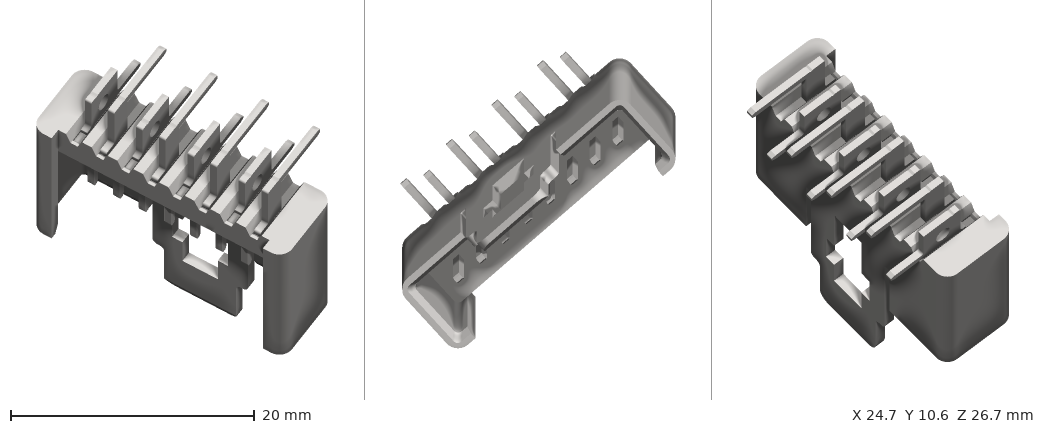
import cadquery as cq
import math


housing_width = 24.7
housing_depth = 7.5
housing_height = 14.0
outer_radius = 1.25
wall = 1.0
inner_radius = 0.5
roof_thickness = 2.95
front_opening_width = 20.6
roof_front_y = -housing_depth + wall
back_wall_front_y = -wall

lead_in_height = 1.0
lead_in_depth = 0.45

tongue_width = 9.3
tongue_tip_width = 7.0
tongue_root_z = 6.5
tongue_shoulder_z = -3.78
tongue_end_z = -9.05
shoulder_radius = 0.5
tongue_tip_radius = 1.0
side_slot_width = 0.6
side_slot_radius = 0.15

window_width = 3.45
window_bottom_z = -4.28
window_cross_width = 5.48
window_cross_bottom_z = -1.68
window_cross_top_z = 1.45

pin_count = 8
pin_pitch = 2.5
pin_width = 0.64
groove_top_width = 1.58
groove_bottom_width = 0.68
groove_floor_z = 13.07
pocket_depth = 0.2
pocket_front_y = -6.2

tail_end_y = 3.1
tail_tip_length = 0.4
tail_tip_inset = 0.15
leg_front_y = -4.0
leg_thickness = 0.64
leg_end_z = 4.57
leg_tip_length = 0.33
leg_tip_inset = 0.15
foot_bottom_z = 12.5
foot_fillet_top_z = 13.56
plate_edge_radius = 0.18
notch_half_width = 0.2
notch_depth = 0.08

tall_top_z = 17.62
tall_tail_thickness = 0.67
tall_back_y = -2.78
tall_front_y = -4.8
tall_foot_top_z = 13.36
tall_foot_front_y = -5.97
tall_foot_radius = 0.2
tall_notch_y = -3.25

short_top_z = 16.68
short_tail_top_z = 13.82
short_tail_thickness = 0.59
short_back_y = -0.4
short_front_y = -4.38
short_foot_top_z = 13.22
short_foot_front_y = -5.0
short_foot_radius = 0.05
short_notch_y = -3.55
short_tail_fillet = 0.25
hole_y = -2.52
hole_z = 14.65
hole_diameter = 1.5

arc_offset = 1 - math.sqrt(0.5)

search_margin = 0.01


def box(x_size, y_min, y_max, z_min, z_max):
    """Block centred on X = 0, given by its Y and Z limits."""
    block = cq.Workplane("XY").box(x_size, y_max - y_min, z_max - z_min)
    return block.translate((0, (y_min + y_max) / 2, (z_min + z_max) / 2))


def extrude_along_x(profile, width):
    """Extrude a closed YZ profile to both sides of X = 0."""
    return profile.extrude(width / 2, both=True)


def make_housing():
    body = box(housing_width, -housing_depth, 0, 0, housing_height).edges("|Z").fillet(outer_radius)

    cavity_width = housing_width - 2 * wall
    ceiling_z = housing_height - roof_thickness
    cavity = box(cavity_width, roof_front_y, back_wall_front_y, 0, ceiling_z).edges("|Z").fillet(inner_radius)
    front_opening = box(front_opening_width, -housing_depth, roof_front_y, 0, housing_height)
    neck = box(front_opening_width, -housing_depth, back_wall_front_y - inner_radius, 0, ceiling_z)

    lead_in = (
        cq.Workplane("XY")
        .center(0, (roof_front_y + back_wall_front_y) / 2)
        .rect(cavity_width + 2 * lead_in_depth, back_wall_front_y - roof_front_y + 2 * lead_in_depth)
        .extrude(lead_in_height, taper=math.degrees(math.atan2(lead_in_depth, lead_in_height)))
        .edges("not #Z")
        .fillet(inner_radius)
    )
    return body.cut(cavity).cut(front_opening).cut(neck).cut(lead_in)


def add_tongue(body):
    gap_width = tongue_width + 2 * side_slot_width
    gap = box(gap_width, -wall, 0, 0, tongue_root_z)

    wide = box(tongue_width, -wall, 0, tongue_shoulder_z, tongue_root_z)
    wide = wide.edges("|Y and <Z").fillet(shoulder_radius)
    tip = box(tongue_tip_width, -wall, 0, tongue_end_z, tongue_root_z)
    tip = tip.edges("|Y and <Z").fillet(tongue_tip_radius)
    tongue = wide.union(tip)
    inner_corners = cq.selectors.BoxSelector(
        (-tongue_tip_width / 2 - search_margin, -wall, tongue_shoulder_z - search_margin),
        (tongue_tip_width / 2 + search_margin, 0, tongue_shoulder_z + search_margin),
    )
    tongue = tongue.edges("|Y").edges(inner_corners).fillet(shoulder_radius)

    tip_bevel = extrude_along_x(
        cq.Workplane("YZ").polyline(
            [
                (-wall, tongue_end_z),
                (-wall + lead_in_depth, tongue_end_z),
                (-wall, tongue_end_z + lead_in_height),
            ]
        ).close(),
        tongue_width,
    )
    tongue = tongue.cut(tip_bevel)

    slot_x = (tongue_width + side_slot_width) / 2
    body = body.cut(gap).union(tongue)
    for side in (-1, 1):
        body = body.edges("|Y").edges(
            cq.selectors.BoxSelector(
                (side * slot_x - side_slot_width, -wall, tongue_root_z - search_margin),
                (side * slot_x + side_slot_width, 0, tongue_root_z + search_margin),
            )
        ).fillet(side_slot_radius)

    window = box(window_width, -wall, 0, window_bottom_z, tongue_root_z)
    window_cross = box(window_cross_width, -wall, 0, window_cross_bottom_z, window_cross_top_z)
    return body.cut(window).cut(window_cross)


def make_groove():
    """V-groove across the roof, with a ramped pocket in its floor in front of the pin."""
    groove = (
        cq.Workplane("XZ")
        .polyline(
            [
                (-groove_top_width / 2, housing_height),
                (-groove_bottom_width / 2, groove_floor_z),
                (groove_bottom_width / 2, groove_floor_z),
                (groove_top_width / 2, housing_height),
            ]
        )
        .close()
        .extrude(housing_depth)
    )
    pocket = extrude_along_x(
        cq.Workplane("YZ").polyline(
            [
                (pocket_front_y, groove_floor_z),
                (pocket_front_y + pocket_depth, groove_floor_z - pocket_depth),
                (leg_front_y, groove_floor_z - pocket_depth),
                (leg_front_y, groove_floor_z),
            ]
        ).close(),
        groove_bottom_width,
    )
    return groove.union(pocket)


def make_tail(start_y, top_z, thickness):
    bottom_z = top_z - thickness
    profile = cq.Workplane("YZ").polyline(
        [
            (start_y, bottom_z),
            (tail_end_y - tail_tip_length, bottom_z),
            (tail_end_y, bottom_z + tail_tip_inset),
            (tail_end_y, top_z - tail_tip_inset),
            (tail_end_y - tail_tip_length, top_z),
            (start_y, top_z),
        ]
    )
    return extrude_along_x(profile.close(), pin_width)


def make_leg():
    back_y = leg_front_y + leg_thickness
    profile = cq.Workplane("YZ").polyline(
        [
            (leg_front_y, foot_bottom_z),
            (leg_front_y, leg_end_z + leg_tip_length),
            (leg_front_y + leg_tip_inset, leg_end_z),
            (back_y - leg_tip_inset, leg_end_z),
            (back_y, leg_end_z + leg_tip_length),
            (back_y, foot_bottom_z),
        ]
    )
    return extrude_along_x(profile.close(), pin_width)


def make_plate(back_y, front_y, top_z, foot_front_y, foot_top_z, foot_radius, notch_y):
    """Upright plate with a foot in front of it and a shallow V-notch in its top edge."""
    foot_fillet = foot_fillet_top_z - foot_top_z
    profile = (
        cq.Workplane("YZ")
        .moveTo(back_y, foot_bottom_z)
        .lineTo(back_y, top_z)
        .lineTo(notch_y + notch_half_width, top_z)
        .lineTo(notch_y, top_z - notch_depth)
        .lineTo(notch_y - notch_half_width, top_z)
        .lineTo(front_y + plate_edge_radius, top_z)
        .threePointArc(
            (front_y + arc_offset * plate_edge_radius, top_z - arc_offset * plate_edge_radius),
            (front_y, top_z - plate_edge_radius),
        )
        .lineTo(front_y, foot_fillet_top_z)
        .threePointArc(
            (front_y - arc_offset * foot_fillet, foot_top_z + arc_offset * foot_fillet),
            (front_y - foot_fillet, foot_top_z),
        )
        .lineTo(foot_front_y + foot_radius, foot_top_z)
        .threePointArc(
            (foot_front_y + arc_offset * foot_radius, foot_top_z - arc_offset * foot_radius),
            (foot_front_y, foot_top_z - foot_radius),
        )
        .lineTo(foot_front_y, foot_bottom_z)
        .close()
    )
    return extrude_along_x(profile, pin_width)


def make_tall_pin():
    plate = make_plate(
        tall_back_y,
        tall_front_y,
        tall_top_z,
        tall_foot_front_y,
        tall_foot_top_z,
        tall_foot_radius,
        tall_notch_y,
    )
    tail = make_tail(tall_back_y, tall_top_z, tall_tail_thickness)
    return plate.union(tail).union(make_leg())


def make_short_pin():
    plate = make_plate(
        short_back_y,
        short_front_y,
        short_top_z,
        short_foot_front_y,
        short_foot_top_z,
        short_foot_radius,
        short_notch_y,
    )
    tail_fillet = extrude_along_x(
        cq.Workplane("YZ")
        .moveTo(short_back_y, short_tail_top_z)
        .lineTo(short_back_y + short_tail_fillet, short_tail_top_z)
        .threePointArc(
            (
                short_back_y + arc_offset * short_tail_fillet,
                short_tail_top_z + arc_offset * short_tail_fillet,
            ),
            (short_back_y, short_tail_top_z + short_tail_fillet),
        )
        .close(),
        pin_width,
    )
    hole = extrude_along_x(
        cq.Workplane("YZ").center(hole_y, hole_z).circle(hole_diameter / 2), pin_width
    )
    tail = make_tail(short_back_y, short_tail_top_z, short_tail_thickness)
    return plate.union(tail_fillet).cut(hole).union(tail).union(make_leg())


def add_pins(body):
    groove = make_groove()
    pins = (make_short_pin(), make_tall_pin())
    for index in range(pin_count):
        offset = ((index - (pin_count - 1) / 2) * pin_pitch, 0, 0)
        body = body.cut(groove.translate(offset))
        body = body.union(pins[index % 2].translate(offset))
    return body


result = add_pins(add_tongue(make_housing()))